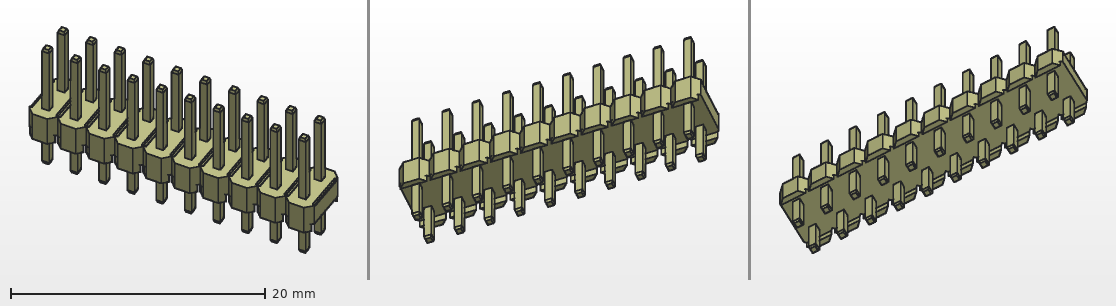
import cadquery as cq

pitch = 2.55
column_count = 10
row_count = 2

housing_length = column_count * pitch
housing_width = row_count * pitch
housing_height = 2.55
corner_cut = 0.6
foot_height = 0.69
foot_width = 0.45

groove_mouth_width = 0.4
groove_mouth_length = 3.65
groove_floor_width = 0.2
groove_floor_length = 3.5
groove_depth = 0.13

pin_width = 0.64
pin_above_housing = 6.07
pin_below_housing = 3.0
tip_height = 0.25
tip_width = 0.45


def tapered_block(bottom_size, top_size, height):
    """Block with rectangular ends of different size, rising from Z = 0."""
    return (
        cq.Workplane("XY")
        .rect(*bottom_size)
        .workplane(offset=height)
        .rect(*top_size)
        .loft()
    )


def grid_positions(count):
    """Coordinates of evenly pitched places, centred on zero."""
    return [(i - (count - 1) / 2) * pitch for i in range(count)]


def make_housing():
    """Octagonal cells side by side, with a channel underneath that leaves the feet."""
    notch_centres = [
        (x, side * housing_width / 2)
        for x in grid_positions(column_count + 1)
        for side in (-1, 1)
    ]
    notches = (
        cq.Workplane("XY")
        .pushPoints(notch_centres)
        .polygon(4, 2 * corner_cut)
        .extrude(housing_height)
    )
    channel = cq.Workplane("XY").box(
        housing_length, housing_width - 2 * foot_width, foot_height, centered=(True, True, False)
    )
    strip = cq.Workplane("XY").box(
        housing_length, housing_width, housing_height, centered=(True, True, False)
    )
    return strip.cut(notches).cut(channel)


def cut_grooves(housing):
    """One groove on every cell border; those at the two ends are open outwards."""
    groove = tapered_block(
        (groove_floor_width, groove_floor_length),
        (groove_mouth_width, groove_mouth_length),
        groove_depth,
    )
    for x in grid_positions(column_count + 1):
        housing = housing.cut(groove.translate((x, 0, housing_height - groove_depth)))
    return housing


def make_pin():
    """Square pin through the housing, tapered at both ends."""
    shaft_length = pin_below_housing + housing_height + pin_above_housing - 2 * tip_height
    shaft = cq.Workplane("XY").box(pin_width, pin_width, shaft_length, centered=(True, True, False))
    tip = tapered_block((pin_width, pin_width), (tip_width, tip_width), tip_height)
    top_tip = tip.translate((0, 0, shaft_length))
    bottom_tip = tip.rotate((0, 0, 0), (1, 0, 0), 180)
    return shaft.union(top_tip).union(bottom_tip).translate((0, 0, tip_height - pin_below_housing))


result = cut_grooves(make_housing())
pin = make_pin()
for pin_x in grid_positions(column_count):
    for pin_y in grid_positions(row_count):
        result = result.union(pin.translate((pin_x, pin_y, 0)))